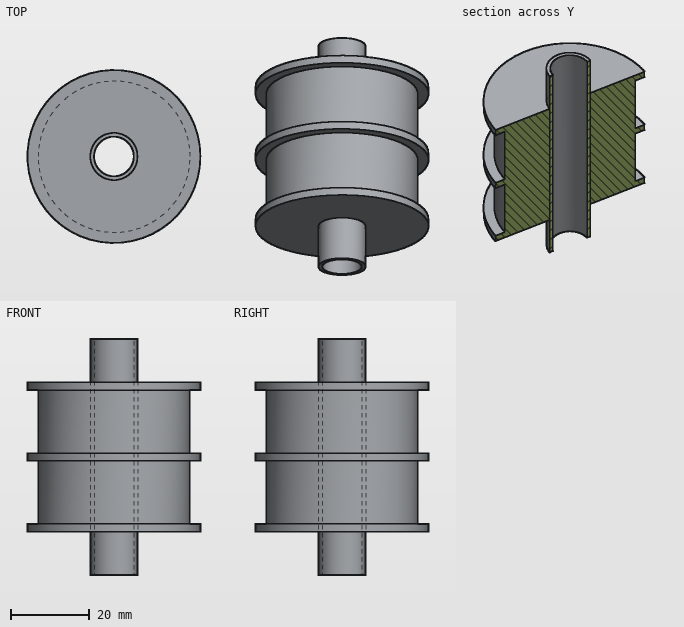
import cadquery as cq

TUBE_LENGTH = 60.0
TUBE_DIAMETER = 12.0
TUBE_BORE_DIAMETER = 10.0

DRUM_DIAMETER = 38.5
FLANGE_DIAMETER = 44.0
FLANGE_THICKNESS = 2.0
FLANGE_PITCH = 18.0
FLANGE_COUNT = 3

FLANGE_SPAN = (FLANGE_COUNT - 1) * FLANGE_PITCH


def centered_cylinder(diameter, height, center_z=0.0):
    """Cylinder on the Z axis, centred on the given height."""
    return cq.Workplane("XY").cylinder(height, diameter / 2).translate((0, 0, center_z))


def make_tube():
    """Plain tube, open at both ends."""
    outside = centered_cylinder(TUBE_DIAMETER, TUBE_LENGTH)
    bore = centered_cylinder(TUBE_BORE_DIAMETER, TUBE_LENGTH)
    return outside.cut(bore)


def make_spool():
    """Drum with its flanges, bored to fit the tube."""
    spool = centered_cylinder(DRUM_DIAMETER, FLANGE_SPAN)
    for index in range(FLANGE_COUNT):
        flange_z = index * FLANGE_PITCH - FLANGE_SPAN / 2
        spool = spool.union(centered_cylinder(FLANGE_DIAMETER, FLANGE_THICKNESS, flange_z))
    tube_hole = centered_cylinder(TUBE_DIAMETER, FLANGE_SPAN + FLANGE_THICKNESS)
    return spool.cut(tube_hole)


tube = make_tube()
spool = make_spool()

result = cq.Compound.makeCompound([tube.val(), *spool.solids().vals()])